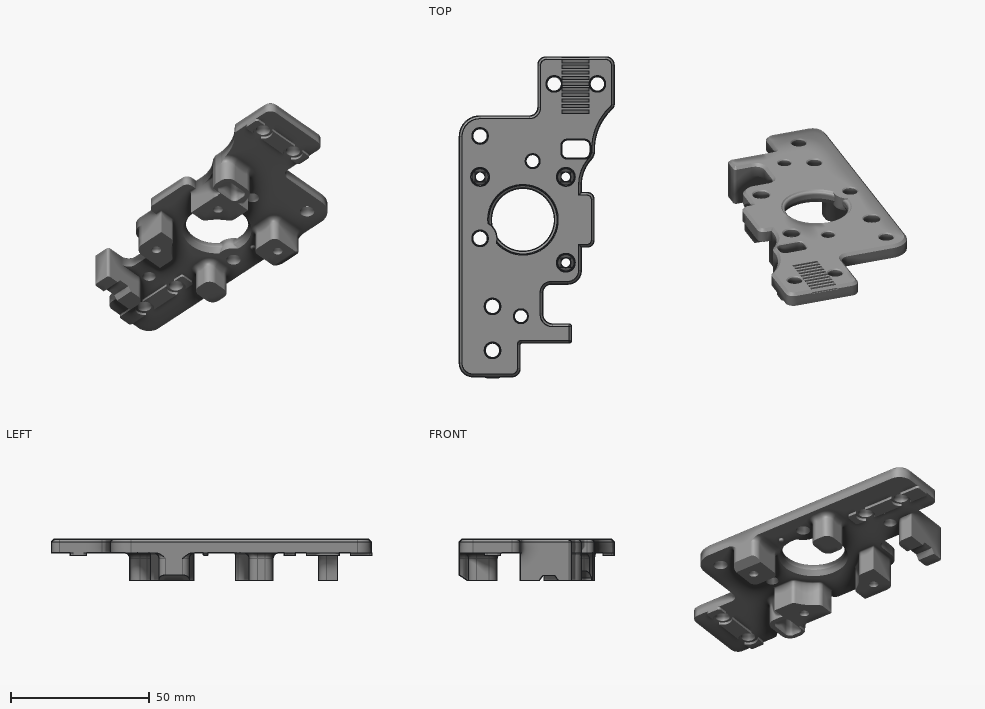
import cadquery as cq
import math


tolerance = 0.01
sheet_margin = 20.0

height = 15.0
plate_thickness = 5.0
plate_bottom = height - plate_thickness
edge_chamfer = 1.0
left, right = -23.03, 33.0
top, shoulder = 58.9, 37.55
bottom = -56.75
tab_left = 5.35
foot_right = -1.0
arm_bottom, arm_top, arm_right = -44.6, -37.6, 17.6
bay_left, bay_top = 7.2, -23.3
lobe_right = 21.1
lug_right, lug_half = 25.7, 9.9
tip_right, tip_low, tip_high = 25.9, 24.2, 27.0
lower_arc_start = (lobe_right, 13.0)
lower_arc_end = (25.1, 22.3)
lower_arc_radius = 14.0
upper_arc_end = (right, 40.8)
upper_arc_radius = 20.0

plate_corners = [
    (left, bottom, 5.0), (foot_right, bottom, 3.0), (foot_right, arm_bottom, 0.5),
    (arm_right, arm_bottom, 1.0), (arm_right, arm_top, 1.0),
    (bay_left, arm_top, 3.5), (bay_left, bay_top, 3.0), (lobe_right, bay_top, 5.0),
    (lug_right, -lug_half, 2.5), (lug_right, lug_half, 2.5),
    (*upper_arc_end, 2.0), (right, top, 3.0), (tab_left, top, 3.0),
    (tab_left, shoulder, 3.0), (left, shoulder, 7.5),
]

screw_half_pitch = 15.5
screw_spots = [(-screw_half_pitch, screw_half_pitch), (screw_half_pitch, screw_half_pitch),
               (screw_half_pitch, -screw_half_pitch)]
screw_hole = 3.5
screw_head = 6.0
screw_head_floor = 11.8
bridge_layer = 0.25
screw_head_chamfer = 0.4
bore = 22.7
lip_radius = 1.0
bore_chamfer = 0.4
bore_flare, bore_flare_height = 1.1, 2.0
bore_keepout_radius = 6.1

hole_chamfer = 0.4
large_hole, small_hole = 5.2, 4.7
small_hole_chamfer = 0.35
tab_key_y, foot_key_x = 49.1, -11.0
tab_holes = [(11.3, tab_key_y), (26.9, tab_key_y)]
foot_holes = [(foot_key_x, -31.3), (foot_key_x, -47.2)]
side_holes = [(-screw_half_pitch, 30.3), (-screw_half_pitch, -6.7)]
large_holes = tab_holes + foot_holes + side_holes
small_holes = [(3.5, 21.2), (-0.75, -34.85)]
key_width, key_drop, key_corner, key_relief = 5.9, 1.0, 1.0, 7.1
foot_key_low, foot_key_high = -57.1, -25.3

slot_x, slot_y = 19.1, 25.55
slot_length, slot_width, slot_corner = 10.1, 6.5, 2.0
slot_chamfer = 0.35
tube_wall = 1.75
tube_undercut_top, tube_undercut_foot, tube_undercut_depth = 3.5, 1.0, 1.5

upper_left_corner, lower_left_corner = 2.4, 3.0
hollowed_corner, lobe_side_corner = 2.0, 4.0
wide_flare, small_flare = 2.0, 0.5
arm_leg_corner = 3.0
standoff_bore_clearance = 16.5
upper_left_standoff = (left, -9.3, 9.0, 20.0)
lower_left_standoff = (-19.7, -9.3, -21.3, -12.6)
upper_right_standoff = (7.6, lobe_right, 7.4, 23.0)
lower_right_standoff = (7.6, lobe_right, -21.3, -7.6)
leg_chamfer_run, leg_chamfer_rise = 3.0, 2.0

notch_left, notch_right, notch_height, notch_slope = 5.9, 12.8, 1.8, 1.3

groove_pitch, groove_width, groove_depth = 2.02, 1.2, 1.3
groove_count = 11
groove_x, groove_length, first_groove_y = 19.05, 9.7, 38.5

pin_diameter, pin_tip, pin_round, pin_depth = 1.82, 1.0, 0.6, 2.0
pin_spot = (-screw_half_pitch, 3.1)


def box(x0, x1, y0, y1, z0, z1):
    return cq.Workplane("XY").box(x1 - x0, y1 - y0, z1 - z0, centered=False).translate((x0, y0, z0))


def cylinder(spot, diameter, z0, z1):
    return cq.Workplane("XY").workplane(offset=z0).center(*spot).circle(diameter / 2).extrude(z1 - z0)


def standoff_block(bounds, corner):
    x0, x1, y0, y1 = bounds
    return box(x0, x1, y0, y1, 0, height).edges("|Z").fillet(corner)


def hollowed_block(bounds):
    """A standoff cut back around the bore axis, with its corner farthest from the bore rounded wider."""
    x0, x1, y0, y1 = bounds
    far_y = max(y0, y1, key=abs)
    block = box(x0, x1, y0, y1, 0, height)
    block = block.edges(cq.NearestToPointSelector((x1, far_y, height / 2))).fillet(lobe_side_corner)
    block = block.cut(cylinder((0, 0), 2 * standoff_bore_clearance, 0, height))
    near_edges = [
        edge for edge in block.edges("|Z").vals()
        if math.hypot(edge.Center().x, edge.Center().y) < standoff_bore_clearance + tolerance
    ]
    return block.newObject(near_edges).fillet(hollowed_corner)


def outline_prism(z0, z1):
    prism = (
        cq.Workplane("XY").workplane(offset=z0)
        .moveTo(left, bottom)
        .lineTo(foot_right, bottom)
        .lineTo(foot_right, arm_bottom)
        .lineTo(arm_right, arm_bottom)
        .lineTo(arm_right, arm_top)
        .lineTo(bay_left, arm_top)
        .lineTo(bay_left, bay_top)
        .lineTo(lobe_right, bay_top)
        .lineTo(lobe_right, -lug_half)
        .lineTo(lug_right, -lug_half)
        .lineTo(lug_right, lug_half)
        .lineTo(lobe_right, lug_half)
        .lineTo(*lower_arc_start)
        .radiusArc(lower_arc_end, lower_arc_radius)
        .lineTo(tip_right, tip_low)
        .lineTo(tip_right, tip_high)
        .radiusArc(upper_arc_end, upper_arc_radius)
        .lineTo(right, top)
        .lineTo(tab_left, top)
        .lineTo(tab_left, shoulder)
        .lineTo(left, shoulder)
        .close()
        .extrude(z1 - z0)
    )
    middle = (z0 + z1) / 2
    for x, y, radius in plate_corners:
        prism = prism.edges(cq.NearestToPointSelector((x, y, middle))).fillet(radius)
    return prism


def flared_post(block, flare):
    """A standoff that widens into the underside of the plate with a concave fillet."""
    sheet = box(left - sheet_margin, right + sheet_margin, bottom, top, plate_bottom, height)
    seam = cq.selectors.BoxSelector(
        (left - tolerance, bottom + tolerance, plate_bottom - tolerance),
        (right + tolerance, top - tolerance, plate_bottom + tolerance))
    post = sheet.union(block)
    post = post.edges(seam).fillet(flare)
    return post.intersect(outline_prism(0, plate_bottom))


def slot_outline(margin):
    outline = cq.Sketch().rect(slot_length + 2 * margin, slot_width + 2 * margin)
    center = cq.Location(cq.Vector(slot_x, slot_y, 0))
    return outline.vertices().fillet(slot_corner + margin).moved(center)


def upper_left_post():
    post = flared_post(standoff_block(upper_left_standoff, upper_left_corner), wide_flare)
    y0, y1 = upper_left_standoff[2:]
    wedge = (
        cq.Workplane("XZ", origin=(0, y1, 0))
        .polyline([(left, 0), (left + leg_chamfer_run, 0), (left, leg_chamfer_rise)])
        .close()
        .extrude(y1 - y0)
    )
    return post.cut(wedge)


def slot_tube():
    tube = flared_post(cq.Workplane("XY").placeSketch(slot_outline(tube_wall)).extrude(height), wide_flare)
    face_y = slot_y - slot_width / 2 - tube_wall
    undercut = (
        cq.Workplane("YZ", origin=(lobe_right, 0, 0))
        .polyline([
            (face_y, 0),
            (face_y + tube_undercut_depth, 0),
            (face_y + tube_undercut_depth, tube_undercut_foot),
            (face_y, tube_undercut_top),
        ])
        .close()
        .extrude(right - lobe_right)
    )
    return tube.cut(undercut)


def arm_leg():
    leg = box(foot_right, arm_right, arm_bottom, arm_top, 0, height)
    leg = leg.edges("|Z and <X and >Y").fillet(arm_leg_corner)
    leg = leg.intersect(outline_prism(0, plate_bottom))
    notch = (
        cq.Workplane("XZ", origin=(0, arm_top, 0))
        .polyline([
            (notch_left, 0),
            (notch_right, 0),
            (notch_right - notch_slope, notch_height),
            (notch_left + notch_slope, notch_height),
        ])
        .close()
        .extrude(arm_top - arm_bottom)
    )
    return leg.cut(notch)


def key(x0, x1, y0, y1, holes):
    """A low bar under the plate that fits an extrusion slot, relieved around its screw holes."""
    bar = box(x0, x1, y0, y1, plate_bottom - key_drop, plate_bottom).edges("|Z").fillet(key_corner)
    for spot in holes:
        bar = bar.cut(cylinder(spot, key_relief, 0, height))
    return bar


def keys():
    half = key_width / 2
    tab_key = key(tab_left, right, tab_key_y - half, tab_key_y + half, tab_holes)
    foot_key = key(foot_key_x - half, foot_key_x + half, foot_key_low, foot_key_high, foot_holes)
    return tab_key.union(foot_key)


def chamfered_hole(spot, diameter, chamfer, floor):
    mouth = cq.Solid.makeCone(
        diameter / 2, diameter / 2 + chamfer, chamfer, pnt=cq.Vector(*spot, height - chamfer))
    return cylinder(spot, diameter, floor, height).union(cq.Workplane(mouth))


def screw_pocket(spot):
    """Screw hole whose head floor steps down through a slot and a square to the round hole."""
    head = chamfered_hole(spot, screw_head, screw_head_chamfer, screw_head_floor)
    x, y = spot
    half = screw_hole / 2
    slit = box(x - screw_head / 2, x + screw_head / 2, y - half, y + half,
               screw_head_floor - bridge_layer, screw_head_floor)
    slit = slit.intersect(cylinder(spot, screw_head, 0, height))
    square = box(x - half, x + half, y - half, y + half,
                 screw_head_floor - 2 * bridge_layer, screw_head_floor)
    return head.union(slit).union(square).union(cylinder(spot, screw_hole, 0, height))


def motor_bore():
    """Bore with a rounded, chamfered lip and a flared foot that stops short of the nearby screw hole."""
    radius = bore / 2
    lip_top = height - bore_chamfer
    profile = (
        cq.Workplane("XZ")
        .moveTo(0, 0)
        .lineTo(radius + bore_flare, 0)
        .lineTo(radius + bore_flare, plate_bottom)
        .lineTo(radius, plate_bottom + bore_flare_height)
        .lineTo(radius, lip_top - lip_radius)
        .radiusArc((radius + lip_radius, lip_top), lip_radius)
        .lineTo(radius + lip_radius + bore_chamfer, height)
        .lineTo(0, height)
        .close()
        .revolve(360, (0, 0, 0), (0, 1, 0))
    )
    return profile.cut(cylinder(side_holes[1], 2 * bore_keepout_radius, 0, height))


def slot():
    opening = cq.Workplane("XY").placeSketch(slot_outline(0)).extrude(height)
    mouth = (
        cq.Workplane("XY", origin=(0, 0, height))
        .placeSketch(slot_outline(slot_chamfer))
        .extrude(-slot_chamfer, taper=45)
    )
    return opening.union(mouth)


def belt_grooves():
    grooves = cq.Workplane("XY")
    for index in range(groove_count):
        y = first_groove_y + index * groove_pitch
        grooves = grooves.union(box(
            groove_x - groove_length / 2, groove_x + groove_length / 2,
            y, y + groove_width, height - groove_depth, height))
    return grooves


def make_pin():
    pin = cylinder(pin_spot, pin_diameter, plate_bottom - pin_tip, plate_bottom + pin_depth)
    return pin.faces("<Z").edges().fillet(pin_round)


def make_bracket():
    bracket = outline_prism(plate_bottom, height).faces(">Z").chamfer(edge_chamfer)
    bracket = bracket.union(upper_left_post())
    lower_left_block = standoff_block(lower_left_standoff, lower_left_corner)
    bracket = bracket.union(flared_post(lower_left_block, wide_flare))
    for bounds in (upper_right_standoff, lower_right_standoff):
        bracket = bracket.union(flared_post(hollowed_block(bounds), small_flare))
    bracket = bracket.union(slot_tube()).union(arm_leg()).union(keys())
    for spot in large_holes:
        bracket = bracket.cut(chamfered_hole(spot, large_hole, hole_chamfer, 0))
    for spot in small_holes:
        bracket = bracket.cut(chamfered_hole(spot, small_hole, small_hole_chamfer, 0))
    for spot in screw_spots:
        bracket = bracket.cut(screw_pocket(spot))
    bracket = bracket.cut(motor_bore()).cut(slot()).cut(belt_grooves())
    return bracket.cut(cylinder(pin_spot, pin_diameter, plate_bottom, plate_bottom + pin_depth))


bracket = make_bracket()
pin = make_pin()

result = cq.Compound.makeCompound([bracket.val(), pin.val()])